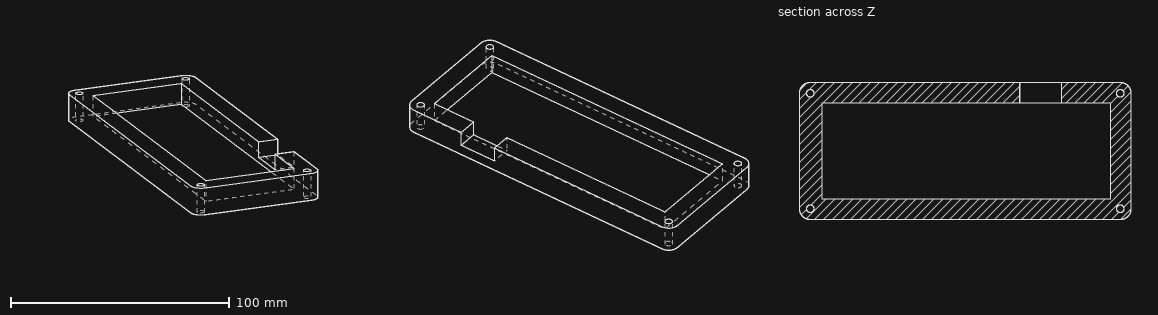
import cadquery as cq

length = 151.97
width = 62.86
height = 13.0
corner_radius = 5.0

screw_hole_diameter = 3.4
screw_hole_inset = corner_radius

wall_thickness = 9.5
left_wall_thickness = 10.5
floor_thickness = 3.0

notch_width = 19.0
notch_center_x = 34.5
notch_depth = 7.5


def make_block():
    block = cq.Workplane("XY").rect(length, width).extrude(height)
    return block.edges("|Z").fillet(corner_radius)


def make_pocket():
    pocket_length = length - left_wall_thickness - wall_thickness
    pocket_width = width - 2 * wall_thickness
    pocket_center_x = (left_wall_thickness - wall_thickness) / 2
    pocket_floor = cq.Workplane("XY").workplane(offset=floor_thickness)
    return (
        pocket_floor.center(pocket_center_x, 0)
        .rect(pocket_length, pocket_width)
        .extrude(height - floor_thickness)
    )


def make_notch():
    """Box through the thickness of the +Y wall, open to the top face."""
    notch_center_y = (width - wall_thickness) / 2
    notch_floor = cq.Workplane("XY").workplane(offset=height - notch_depth)
    return (
        notch_floor.center(notch_center_x, notch_center_y)
        .rect(notch_width, wall_thickness)
        .extrude(notch_depth)
    )


def make_screw_holes():
    spacing_x = length - 2 * screw_hole_inset
    spacing_y = width - 2 * screw_hole_inset
    return (
        cq.Workplane("XY")
        .rect(spacing_x, spacing_y, forConstruction=True)
        .vertices()
        .circle(screw_hole_diameter / 2)
        .extrude(height)
    )


openings = make_pocket().union(make_notch())
result = make_block().cut(openings).cut(make_screw_holes())